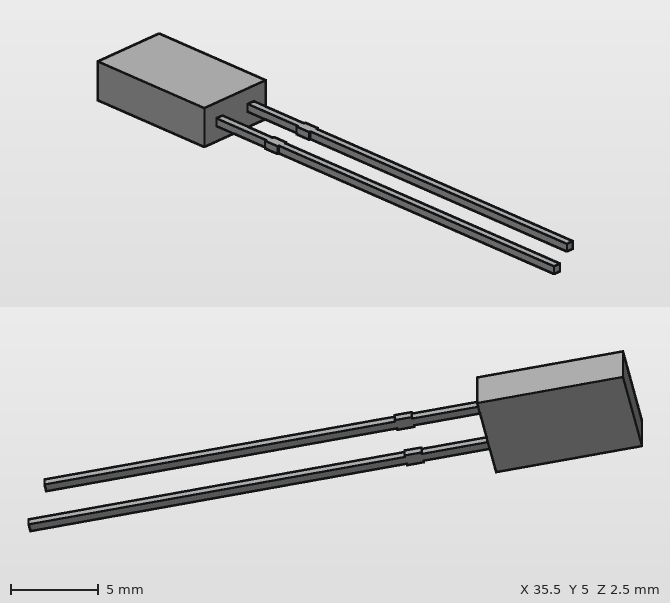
import cadquery as cq

body_length = 8.52
body_width = 5.0
body_height = 2.5

overall_length = 35.5
lead_size = 0.5
lead_pitch = 2.55
short_lead_setback = 1.5
long_lead_length = overall_length - body_length
short_lead_length = long_lead_length - short_lead_setback

collar_offset = 4.0
collar_length = 1.0
collar_width = 0.7


def bar(length, width, height):
    """A block starting at X = 0 and centred on the X axis."""
    return cq.Workplane("XY").box(length, width, height, centered=(False, True, True))


def make_lead(length, y_centre):
    """A square lead running from the rear face of the body, widened in Y at its collar."""
    wire = bar(length, lead_size, lead_size)
    collar = bar(collar_length, collar_width, lead_size).translate((collar_offset, 0, 0))
    return wire.union(collar).translate((body_length, y_centre, 0))


body = bar(body_length, body_width, body_height)
long_lead = make_lead(long_lead_length, -lead_pitch / 2)
short_lead = make_lead(short_lead_length, lead_pitch / 2)

result = body.union(long_lead).union(short_lead)